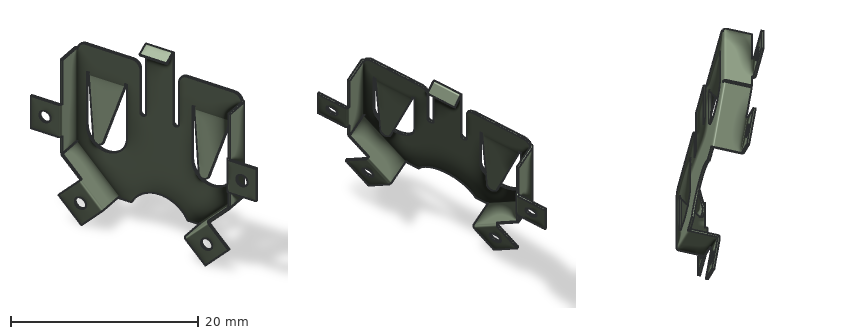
import cadquery as cq
import math


THICKNESS = 0.25
INNER_BEND = 0.08
OUTER_BEND = INNER_BEND + THICKNESS
TOTAL_WIDTH = 28.2
TOTAL_DEPTH = 3.55

WALL_HALF_WIDTH = 10.6
EAR_TOP = 18.08
EAR_RADIUS = 1.0
CORNER_X = 5.25
ARCH_HALF_WIDTH = 3.52
ARCH_HEIGHT = 2.15

TONGUE_HALF_WIDTH = 1.7
TONGUE_TOP = 20.61
SLOT_WIDTH = 0.73
SLOT_BOTTOM = 11.36
HOOK_ANGLE = math.radians(30)
HOOK_LENGTH = 1.25

WINDOW_X = 6.6
WINDOW_WIDTH = 5.02
WINDOW_TOP = 14.6
WINDOW_BOTTOM = 5.35
FINGER_TOP = 14.33
FINGER_LEAN = math.radians(15)
FINGER_LENGTH = 7.28
FINGER_TIP_HEIGHT = 0.35
FINGER_ROOT_WIDTH = 4.5
FINGER_END_WIDTH = 1.18

WALL_TOP = 17.23
WALL_DEPTH = 3.15
TAB_WIDTH = 4.05
SIDE_TAB_LENGTH = TOTAL_WIDTH / 2 - WALL_HALF_WIDTH
SLOPED_TAB_LENGTH = 3.55
SIDE_TAB_BOTTOM = 7.65
HOLE_DIAMETER = 1.4
HOLE_DISTANCE = 1.72

FOLD_X = WALL_HALF_WIDTH - OUTER_BEND
SLOPE_FOLD = CORNER_X - OUTER_BEND * math.sqrt(2)
FOLD_CORNER_Z = FOLD_X - SLOPE_FOLD
SLOPE_LENGTH = (FOLD_X + FOLD_CORNER_Z - CORNER_X) / math.sqrt(2)
TAB_FOLD_Y = OUTER_BEND - TOTAL_DEPTH
HALF_BEND = math.sqrt(0.5)


def both_sides(body):
    return body.union(body.mirror("YZ"))


def through_sheet(outline):
    """Extrude an XZ outline from the rear face to the front face of the plate."""
    return outline.extrude(THICKNESS)


def make_plate():
    corner_z = OUTER_BEND * HALF_BEND
    outline = (
        cq.Workplane("XZ")
        .moveTo(-ARCH_HALF_WIDTH, 0)
        .threePointArc((0, ARCH_HEIGHT), (ARCH_HALF_WIDTH, 0))
        .lineTo(CORNER_X, 0)
        .lineTo(SLOPE_FOLD + corner_z, corner_z)
        .lineTo(FOLD_X, FOLD_CORNER_Z)
        .lineTo(FOLD_X, EAR_TOP)
        .lineTo(-FOLD_X, EAR_TOP)
        .lineTo(-FOLD_X, FOLD_CORNER_Z)
        .lineTo(-SLOPE_FOLD - corner_z, corner_z)
        .lineTo(-CORNER_X, 0)
        .close()
    )
    plate = through_sheet(outline)
    gap_half_width = TONGUE_HALF_WIDTH + SLOT_WIDTH
    gap_base = SLOT_BOTTOM + SLOT_WIDTH / 2
    gap = cq.Workplane("XZ").moveTo(0, (gap_base + EAR_TOP) / 2)
    plate = plate.cut(through_sheet(gap.rect(2 * gap_half_width, EAR_TOP - gap_base)))
    plate = plate.edges("|Y").edges(">Z").fillet(EAR_RADIUS)
    slot_ends = (
        cq.Workplane("XZ")
        .pushPoints([(side * (TONGUE_HALF_WIDTH + SLOT_WIDTH / 2), gap_base) for side in (-1, 1)])
        .circle(SLOT_WIDTH / 2)
    )
    return plate.cut(through_sheet(slot_ends))


def make_tongue():
    """Upright strip whose top curls forward into a drooping hook."""
    bend_y = -OUTER_BEND
    bend_z = TONGUE_TOP - OUTER_BEND
    sin_hook = math.sin(HOOK_ANGLE)
    cos_hook = math.cos(HOOK_ANGLE)
    half_sweep = (math.pi / 2 + HOOK_ANGLE) / 2

    def on_bend(radius, sweep):
        """Point on the curl, swept forward from the rear face."""
        return bend_y + radius * math.cos(sweep), bend_z + radius * math.sin(sweep)

    def hook_end(radius):
        y, z = on_bend(radius, 2 * half_sweep)
        return y - HOOK_LENGTH * cos_hook, z - HOOK_LENGTH * sin_hook

    base_z = SLOT_BOTTOM + SLOT_WIDTH / 2
    return (
        cq.Workplane("YZ")
        .moveTo(0, base_z)
        .lineTo(0, bend_z)
        .threePointArc(on_bend(OUTER_BEND, half_sweep), on_bend(OUTER_BEND, 2 * half_sweep))
        .lineTo(*hook_end(OUTER_BEND))
        .lineTo(*hook_end(INNER_BEND))
        .lineTo(*on_bend(INNER_BEND, 2 * half_sweep))
        .threePointArc(on_bend(INNER_BEND, half_sweep), (-THICKNESS, bend_z))
        .lineTo(-THICKNESS, base_z)
        .close()
        .extrude(TONGUE_HALF_WIDTH, both=True)
    )


def make_window():
    radius = WINDOW_WIDTH / 2
    arc_z = WINDOW_BOTTOM + radius
    outline = (
        cq.Workplane("XZ")
        .moveTo(WINDOW_X - radius, arc_z)
        .threePointArc((WINDOW_X, WINDOW_BOTTOM), (WINDOW_X + radius, arc_z))
        .lineTo(WINDOW_X + radius, WINDOW_TOP)
        .lineTo(WINDOW_X - radius, WINDOW_TOP)
        .close()
    )
    return through_sheet(outline)


def make_finger():
    """Tapered finger hanging from the window's top edge and leaning forward."""
    root_half = FINGER_ROOT_WIDTH / 2
    end_half = FINGER_END_WIDTH / 2
    straight_end = FINGER_TIP_HEIGHT - FINGER_LENGTH
    sin_lean = math.sin(FINGER_LEAN)
    cos_lean = math.cos(FINGER_LEAN)

    def on_fold(radius, sweep):
        """Point on the root fold, swept downward from the plate."""
        return radius * math.cos(sweep) - OUTER_BEND, FINGER_TOP - radius * math.sin(sweep)

    fold_end = on_fold(OUTER_BEND, FINGER_LEAN)
    root = (
        cq.Workplane("YZ", origin=(WINDOW_X - root_half, 0, 0))
        .moveTo(0, WINDOW_TOP)
        .lineTo(0, FINGER_TOP)
        .threePointArc(on_fold(OUTER_BEND, FINGER_LEAN / 2), fold_end)
        .lineTo(*on_fold(INNER_BEND, FINGER_LEAN))
        .threePointArc(on_fold(INNER_BEND, FINGER_LEAN / 2), (-THICKNESS, FINGER_TOP))
        .lineTo(-THICKNESS, WINDOW_TOP)
        .close()
        .extrude(FINGER_ROOT_WIDTH)
    )
    leaning_plane = cq.Plane(
        origin=(WINDOW_X, *fold_end), xDir=(1, 0, 0), normal=(0, -cos_lean, sin_lean))
    blade = (
        cq.Workplane(leaning_plane)
        .moveTo(-root_half, 0)
        .lineTo(-end_half, straight_end)
        .threePointArc((0, -FINGER_LENGTH), (end_half, straight_end))
        .lineTo(root_half, 0)
        .close()
        .extrude(THICKNESS)
    )
    return root.union(blade)


def make_flange(foot, outward, length, tab_start, tab_length):
    """Wall folded off the plate, with a solder tab folded outward from its front edge.

    foot: lower end of the wall's outer face; outward: direction the wall faces.
    In the profile, x runs outward from the outer face and y is the part's Y.
    """
    along = cq.Vector(*outward).cross(cq.Vector(0, 1, 0)).normalized()
    base = cq.Plane(origin=foot, xDir=outward, normal=along.toTuple())
    wall = (
        cq.Workplane(base)
        .moveTo(-OUTER_BEND, 0)
        .threePointArc(
            (OUTER_BEND * (HALF_BEND - 1), OUTER_BEND * (HALF_BEND - 1)), (0, -OUTER_BEND))
        .lineTo(0, -WALL_DEPTH)
        .lineTo(-THICKNESS, -WALL_DEPTH)
        .lineTo(-THICKNESS, -OUTER_BEND)
        .threePointArc(
            (INNER_BEND * HALF_BEND - OUTER_BEND, INNER_BEND * HALF_BEND - OUTER_BEND),
            (-OUTER_BEND, -THICKNESS))
        .close()
        .extrude(length)
    )

    def tab_bend_middle(radius):
        return INNER_BEND - radius * HALF_BEND, TAB_FOLD_Y - radius * HALF_BEND

    tab = (
        cq.Workplane(base)
        .workplane(offset=tab_start)
        .moveTo(0, -WALL_DEPTH)
        .lineTo(0, TAB_FOLD_Y)
        .threePointArc(tab_bend_middle(INNER_BEND), (INNER_BEND, TAB_FOLD_Y - INNER_BEND))
        .lineTo(tab_length, TAB_FOLD_Y - INNER_BEND)
        .lineTo(tab_length, -TOTAL_DEPTH)
        .lineTo(INNER_BEND, -TOTAL_DEPTH)
        .threePointArc(tab_bend_middle(OUTER_BEND), (-THICKNESS, TAB_FOLD_Y))
        .lineTo(-THICKNESS, -WALL_DEPTH)
        .close()
        .extrude(TAB_WIDTH)
    )
    hole_centre = base.toWorldCoords((HOLE_DISTANCE, 0, tab_start + TAB_WIDTH / 2))
    hole = (
        cq.Workplane(cq.Plane(origin=hole_centre, xDir=outward, normal=(0, -1, 0)))
        .circle(HOLE_DIAMETER / 2)
        .extrude(TOTAL_DEPTH)
    )
    return wall.union(tab.cut(hole))


side_flange = make_flange(
    foot=(WALL_HALF_WIDTH, 0, FOLD_CORNER_Z),
    outward=(1, 0, 0),
    length=WALL_TOP - FOLD_CORNER_Z,
    tab_start=SIDE_TAB_BOTTOM - FOLD_CORNER_Z,
    tab_length=SIDE_TAB_LENGTH,
)
sloped_flange = make_flange(
    foot=(CORNER_X, 0, 0),
    outward=(1, 0, -1),
    length=SLOPE_LENGTH,
    tab_start=0,
    tab_length=SLOPED_TAB_LENGTH,
)

result = (
    make_plate()
    .cut(both_sides(make_window()))
    .union(make_tongue())
    .union(both_sides(make_finger()))
    .union(both_sides(side_flange))
    .union(both_sides(sloped_flange))
)